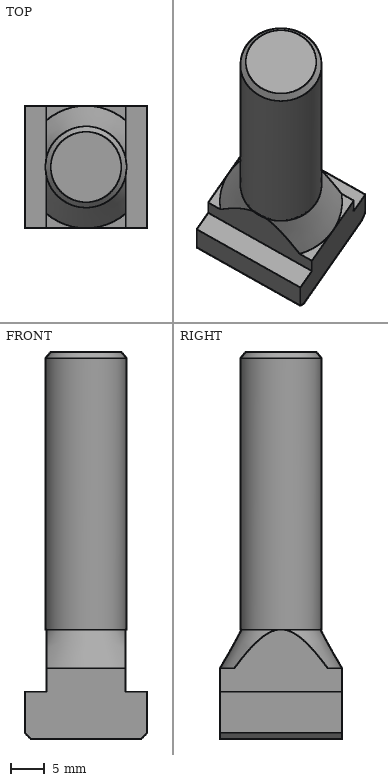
import cadquery as cq

total_height = 57.0
shank_diameter = 11.95
tip_chamfer_radial = 0.8
tip_chamfer_height = 0.9

head_side = 18.0
flange_height = 7.0
neck_width = 11.6
neck_top = 10.45
bottom_chamfer = 0.9

cone_top = 16.15

shank_radius = shank_diameter / 2


def make_head():
    """Square flange with two chamfered bottom edges and a narrower neck on top."""
    flange = (
        cq.Workplane("XY")
        .box(head_side, head_side, flange_height, centered=(True, True, False))
        .faces("<Z")
        .edges("|Y")
        .chamfer(bottom_chamfer)
    )
    neck = cq.Workplane("XY").box(neck_width, head_side, neck_top, centered=(True, True, False))
    return flange.union(neck)


def make_transition():
    """Cone from the head width down to the neck width, cut flat at the neck sides."""
    cone = (
        cq.Workplane("XZ")
        .moveTo(0, neck_top)
        .lineTo(head_side / 2, neck_top)
        .lineTo(neck_width / 2, cone_top)
        .lineTo(0, cone_top)
        .close()
        .revolve(360, (0, 0, 0), (0, 1, 0))
    )
    neck_slab = cq.Workplane("XY").box(neck_width, head_side, cone_top, centered=(True, True, False))
    return cone.intersect(neck_slab)


def make_shank():
    """Plain round shank above the cone, with a chamfered tip."""
    return (
        cq.Workplane("XY", origin=(0, 0, cone_top))
        .circle(shank_radius)
        .extrude(total_height - cone_top)
        .faces(">Z")
        .chamfer(tip_chamfer_height, tip_chamfer_radial)
    )


result = make_head().union(make_transition()).union(make_shank())